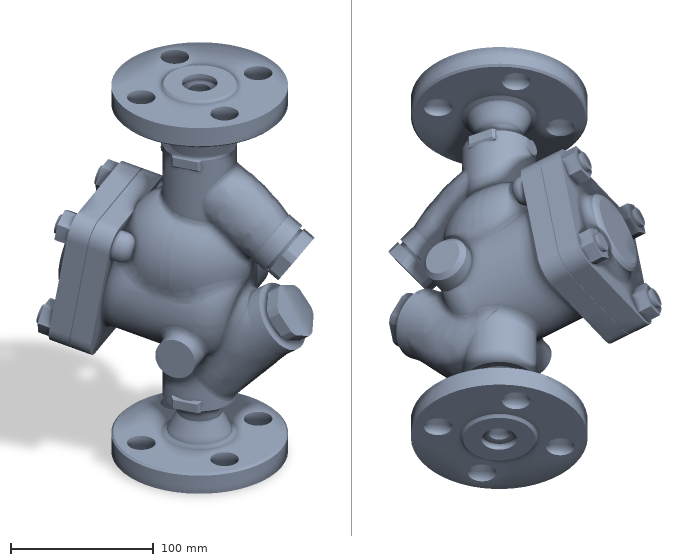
import cadquery as cq
import math

face_to_face = 297.0
half_length = face_to_face / 2

flange_dia = 124.0
flange_thickness = 16.0
flange_chamfer = 1.5
raised_face_dia = 50.5
raised_face_height = 2.0
raised_base_dia = 54.5
bolt_circle_dia = 88.9
bolt_hole_dia = 20.0
bolt_hole_count = 4
first_bolt_angle = 45.0
socket_dia = 25.0
socket_depth = 5.0
bore_dia = 15.0

hub_base_dia = 53.0
hub_foot_dia = 45.6
hub_foot_height = 1.7
hub_tip_dia = 32.0
hub_tip_z = 114.0
weld_dia = 35.0
weld_z = 106.0
nipple_dia = 42.0

pipe_dia = 52.0
pipe_half_length = 100.5
pad_width = 22.0
pad_height = 8.5
pad_reach = 27.0
pad_chamfer = 1.7
mark_dia = 12.0

globe_radius = 44.5
globe_z = 15.5
globe_left_x = -12.1
globe_right_x = -5.4
globe_blend = 16.0
neck_blend = 5.0
neck_low_z = 45.0
tail_high_z = -45.0

cover_tilt = 10.0
chamber_x = -54.1
chamber_z = -9.2
chamber_dia = 87.5
chamber_length = 87.0
chamber_end_radius = 20.0
chamber_flare = 2.5
plate_size = 105.6
plate_thickness = 16.0
plate_corner_radius = 14.5
gasket_thickness = 0.8
gasket_inset = 0.8
stud_offset = 38.0
stud_dia = 14.0
stud_reach = 12.85
nut_across_flats = 22.2
nut_height = 10.0
stud_boss_dia = 22.0
stud_boss_length = 13.0
stud_boss_round = 8.0
dome_flare = 6.2
dome_dia = 60.0
dome_shoulder_dia = 56.0
dome_face_dia = 50.5
dome_wall = 7.0
dome_height = 10.1
dome_shoulder_drop = 1.2

drain_x = 2.8
drain_z = -45.0
drain_dia = 30.0
drain_reach = 53.0
drain_blend = 5.0
rear_boss_x = 14.0
rear_boss_z = -21.0
rear_boss_dia = 34.0
rear_boss_reach = 56.0
rear_boss_chamfer = 3.5

plug_angle = 35.0
plug_hex_flats = 38.0
plug_hex_round_dia = 41.0
plug_hex_height = 9.5
plug_collar_dia = 36.0
plug_collar_height = 2.5
lower_end_x = 62.5
lower_end_z = -25.8
lower_branch_dia = 50.5
lower_rim = 10.5
lower_blend = 5.0
lower_blend_bottom_z = -50.0
root_bottom_z = -97.0
root_center_x = -2.0
root_center_z = -66.0
root_half_width = 25.9
upper_end_x = 63.17
upper_end_z = 29.4
upper_rim_dia = 41.0
upper_rim = 12.0
upper_blend = 4.0
upper_throat_dia = 40.0
upper_swell_dia = 46.4
upper_swell_depth = 37.0
upper_root_dia = 45.6
upper_root_depth = 66.0
upper_casting_shift = 1.6

touch_tolerance = 0.001

cover_plane = cq.Plane(
    origin=(chamber_x, 0, chamber_z),
    xDir=(0, -1, 0),
    normal=(-math.cos(math.radians(cover_tilt)), 0, math.sin(math.radians(cover_tilt))),
)


def axis_plane(x, z, angle):
    """Plane at (x, 0, z) whose normal rises by `angle` degrees from +X, local x in the XZ plane."""
    c = math.cos(math.radians(angle))
    s = math.sin(math.radians(angle))
    return cq.Plane(origin=(x, 0, z), xDir=(-s, 0, c), normal=(c, 0, s))


def on_plane(shape, plane):
    """Carry a shape built about +Z onto a plane, +Z becoming its normal."""
    return cq.Workplane(obj=shape.val().moved(cq.Location(plane)))


def turned(profile):
    """Revolve a list of (radius, height) points about Z."""
    return cq.Workplane("XZ").polyline(profile).close().revolve(360, (0, 0), (0, 1))


def make_flare(radius, size):
    """Disc on the XY plane whose rim narrows upwards in a concave quarter round to `radius`."""
    profile = cq.Workplane("XZ").lineTo(radius + size, 0).radiusArc((radius, size), size)
    return profile.lineTo(0, size).close().revolve(360, (0, 0), (0, 1))


def join(body, branch, blend, lowest_z=-half_length):
    """Unite a branch with the body and round the edges where their skins meet above `lowest_z`."""
    joined = body.union(branch)
    skins = [cq.Compound.makeCompound(shape.val().Faces()) for shape in (body, branch)]
    meeting = []
    for edge in joined.edges().vals():
        middle = cq.Vertex.makeVertex(*edge.positionAt(0.5).toTuple())
        on_both = all(skin.distance(middle) < touch_tolerance for skin in skins)
        if on_both and edge.Center().z > lowest_z:
            meeting.append(edge)
    return joined.newObject(meeting).fillet(blend)


def make_flange_end():
    """Upper hub and flange with its bolt holes, raised face, socket and bore."""
    back_z = half_length - raised_face_height - flange_thickness
    front_z = half_length - raised_face_height
    end = turned([
        (0, pipe_half_length),
        (nipple_dia / 2, pipe_half_length),
        (weld_dia / 2, weld_z),
        (hub_tip_dia / 2, hub_tip_z),
        (hub_foot_dia / 2, back_z - hub_foot_height),
        (hub_base_dia / 2, back_z),
        (flange_dia / 2 - flange_chamfer, back_z),
        (flange_dia / 2, back_z + flange_chamfer),
        (flange_dia / 2, front_z),
        (raised_base_dia / 2, front_z),
        (raised_face_dia / 2, half_length),
        (0, half_length),
    ])
    face = cq.Workplane("XY", origin=(0, 0, half_length))
    holes = face.polarArray(bolt_circle_dia / 2, first_bolt_angle, 360, bolt_hole_count)
    holes = holes.circle(bolt_hole_dia / 2).extrude(-(raised_face_height + flange_thickness))
    socket = face.circle(socket_dia / 2).extrude(-socket_depth)
    bore = face.circle(bore_dia / 2).extrude(-(half_length - pipe_half_length))
    return end.cut(holes).cut(socket).cut(bore)


def make_pad():
    """Flat pad at the top of the pipe on its -Y side, bevelled on every edge but the top one."""
    pad = cq.Workplane("XZ", origin=(0, 0, pipe_half_length - pad_height / 2))
    pad = pad.rect(pad_width, pad_height).extrude(pad_reach)
    return pad.faces("<Y").edges("not >Z").chamfer(pad_chamfer)


def make_mark():
    """Round mark at the top of the pipe on its -X side."""
    mark = cq.Workplane("YZ", origin=(0, 0, pipe_half_length - mark_dia / 2))
    return mark.circle(mark_dia / 2).extrude(-pad_reach)


def make_globe():
    """Sphere cut through the middle and drawn apart a little along X."""
    globe = cq.Workplane("XY", origin=(0, 0, globe_z)).moveTo(globe_left_x - globe_radius, 0)
    globe = globe.radiusArc((globe_left_x, globe_radius), globe_radius)
    globe = globe.lineTo(globe_right_x, globe_radius)
    globe = globe.radiusArc((globe_right_x + globe_radius, 0), globe_radius).close()
    return globe.revolve(360, (0, 0, 0), (1, 0, 0))


def make_chamber():
    chamber = cq.Workplane("XY").circle(chamber_dia / 2).extrude(-chamber_length)
    chamber = chamber.faces("<Z").edges().fillet(chamber_end_radius)
    return on_plane(chamber, cover_plane)


def make_plate(base, thickness, size):
    plate = cq.Workplane("XY", origin=(0, 0, base)).rect(size, size).extrude(thickness)
    return plate.edges("|Z").fillet(plate_corner_radius)


def make_dome(base):
    dome = turned([
        (0, base),
        (dome_dia / 2, base),
        (dome_dia / 2, base + dome_wall),
        (dome_shoulder_dia / 2, base + dome_height - dome_shoulder_drop),
        (dome_face_dia / 2, base + dome_height),
        (0, base + dome_height),
    ])
    return dome.union(make_flare(dome_dia / 2, dome_flare).translate((0, 0, base)))


def make_stud(spin):
    """Stud end and nut, standing on the XY plane, with the nut turned by `spin` degrees."""
    stud = cq.Workplane("XY").circle(stud_dia / 2).extrude(stud_reach)
    nut = cq.Workplane("XY").polygon(6, nut_across_flats / math.cos(math.pi / 6)).extrude(nut_height)
    return stud.union(nut.rotate((0, 0, 0), (0, 0, 1), spin))


def make_stud_boss():
    boss = cq.Workplane("XY").circle(stud_boss_dia / 2).extrude(-stud_boss_length)
    return boss.faces("<Z").edges().fillet(stud_boss_round)


def make_cover():
    """Square body flange, gasket, cover, studs and nuts, stacked along the chamber axis."""
    half_gasket = gasket_thickness / 2
    gasket_base = plate_thickness - half_gasket
    gasket_top = plate_thickness + half_gasket
    cover_face = 2 * plate_thickness
    cover = make_plate(0, gasket_base, plate_size)
    cover = cover.union(make_plate(gasket_base, gasket_thickness, plate_size - 2 * gasket_inset))
    cover = cover.union(make_plate(gasket_top, cover_face - gasket_top, plate_size))
    cover = cover.union(make_dome(cover_face))
    cover = cover.union(make_flare(chamber_dia / 2, chamber_flare).mirror("XY"))
    for index, (x_side, y_side) in enumerate([(1, 1), (-1, 1), (-1, -1), (1, -1)]):
        corner = (x_side * stud_offset, y_side * stud_offset, 0)
        stud = make_stud(90 * (index + 1)).translate((0, 0, cover_face))
        cover = cover.union(stud.translate(corner))
        if y_side > 0:
            cover = cover.union(make_stud_boss().translate(corner))
    return on_plane(cover, cover_plane)


def make_plug():
    """Hex plug head on a round collar, standing on the XY plane."""
    top = plug_collar_height + plug_hex_height
    collar = cq.Workplane("XY").circle(plug_collar_dia / 2).extrude(plug_collar_height)
    head = cq.Workplane("XY", origin=(0, 0, plug_collar_height))
    head = head.polygon(6, plug_hex_flats / math.cos(math.pi / 6)).extrude(plug_hex_height)
    trim = cq.Workplane("XY").circle(plug_hex_round_dia / 2).extrude(top)
    return collar.union(head.intersect(trim))


def make_lower_branch():
    """Plug, rim and a casting that spreads from the rim to an oblique oval inside the pipe."""
    plane = axis_plane(lower_end_x, lower_end_z, plug_angle)
    rim = cq.Workplane("XY").circle(lower_branch_dia / 2).extrude(-lower_rim)
    rim = on_plane(rim.union(make_plug()), plane)
    drop = root_center_z - root_bottom_z
    run = pipe_dia / 2 - root_center_x
    root_angle = math.degrees(math.atan2(run, drop))
    root = cq.Workplane(axis_plane(root_center_x, root_center_z, root_angle))
    root = root.ellipse(math.hypot(run, drop), root_half_width).wires().val()
    throat = cq.Workplane(plane).workplane(offset=-lower_rim).circle(lower_branch_dia / 2).wires().val()
    casting = cq.Workplane(obj=cq.Solid.makeLoft([root, throat], True))
    return casting.union(rim)


def make_upper_branch():
    """Plug, rim and a smooth casting whose inner sections sit a little above the plug axis."""
    plane = cq.Workplane(axis_plane(upper_end_x, upper_end_z, -plug_angle))
    sections = [
        (upper_rim, upper_throat_dia, 0),
        (upper_swell_depth, upper_swell_dia, upper_casting_shift),
        (upper_root_depth, upper_root_dia, upper_casting_shift),
    ]
    wires = []
    for depth, diameter, shift in sections:
        section = plane.workplane(offset=-depth).center(shift, 0).circle(diameter / 2)
        wires.append(section.wires().val())
    rim = cq.Workplane("XY").circle(upper_rim_dia / 2).extrude(-upper_rim)
    casting = cq.Workplane(obj=cq.Solid.makeLoft(wires))
    return casting.union(on_plane(rim.union(make_plug()), plane.plane))


def make_drain_boss():
    boss = cq.Workplane("XZ", origin=(drain_x, 0, drain_z))
    return boss.circle(drain_dia / 2).extrude(drain_reach)


def make_rear_boss():
    boss = cq.Workplane("XZ", origin=(rear_boss_x, 0, rear_boss_z))
    boss = boss.circle(rear_boss_dia / 2).extrude(-rear_boss_reach)
    return boss.faces(">Y").chamfer(rear_boss_chamfer)


def make_body():
    """Globe, chamber and pipe, blended where they run into each other."""
    vessel = make_globe().union(make_chamber())
    vessel = vessel.edges("%BSPLINE").fillet(globe_blend)
    pipe_base = cq.Plane(origin=(0, 0, -pipe_half_length), xDir=(-1, 1, 0), normal=(0, 0, 1))
    pipe = cq.Workplane(pipe_base).circle(pipe_dia / 2).extrude(2 * pipe_half_length)
    body = vessel.union(pipe)
    low_corner = (-pipe_dia, -pipe_dia, -pipe_half_length)
    high_corner = (pipe_dia, pipe_dia, pipe_half_length)
    neck = cq.selectors.BoxSelector((-pipe_dia, -pipe_dia, neck_low_z), high_corner)
    body = body.edges("%BSPLINE").edges(neck).fillet(neck_blend)
    tail = cq.selectors.BoxSelector(low_corner, (pipe_dia, pipe_dia, tail_high_z))
    return body.edges("%BSPLINE").edges(tail).fillet(neck_blend)


def make_valve():
    valve = join(make_body(), make_upper_branch(), upper_blend)
    valve = join(valve, make_lower_branch(), lower_blend, lower_blend_bottom_z)
    valve = join(valve, make_drain_boss(), drain_blend)
    valve = valve.union(make_cover()).union(make_rear_boss())
    pad = make_pad()
    valve = valve.union(pad).union(pad.mirror("XZ")).union(pad.mirror("XY")).union(make_mark())
    flange_end = make_flange_end()
    return valve.union(flange_end).union(flange_end.mirror("XY"))


result = make_valve()